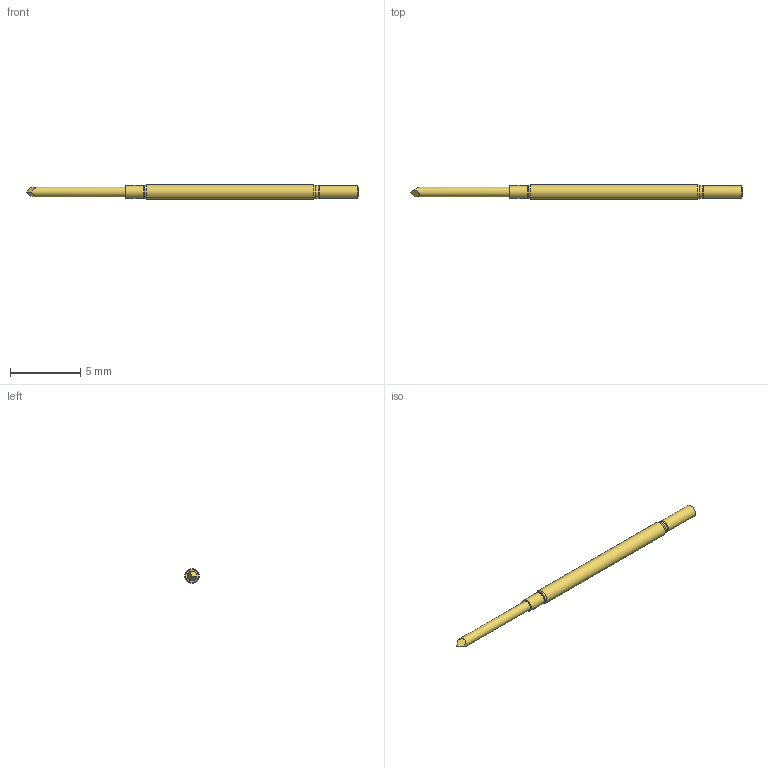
import cadquery as cq
import math

overall_length = 23.62
plunger_diameter = 0.69
neck_diameter = 0.86
sleeve_diameter = 0.89
barrel_diameter = 1.02

probe_start = -overall_length / 2
probe_end = overall_length / 2
collar_start = probe_start + 7.08
barrel_start = probe_start + 8.43
barrel_end = probe_start + 20.6
tail_start = probe_start + 20.78

barrel_chamfer_length = 0.14
barrel_chamfer_depth = 0.04
collar_bevel_length = 0.07
tail_bevel_length = 0.07
tail_end_chamfer_length = 0.05
tail_end_chamfer_depth = 0.09

facet_count = 3
facet_half_angle = 27.5
first_facet_direction = 0.0


def make_turned_body():
    """Revolve the stepped half-profile about the X axis."""
    plunger_radius = plunger_diameter / 2
    neck_radius = neck_diameter / 2
    sleeve_radius = sleeve_diameter / 2
    barrel_radius = barrel_diameter / 2
    barrel_end_radius = barrel_radius - barrel_chamfer_depth
    profile = [
        (probe_start, 0),
        (probe_start, plunger_radius),
        (collar_start, plunger_radius),
        (collar_start, sleeve_radius),
        (barrel_start - collar_bevel_length, sleeve_radius),
        (barrel_start, neck_radius),
        (barrel_start, barrel_end_radius),
        (barrel_start + barrel_chamfer_length, barrel_radius),
        (barrel_end - barrel_chamfer_length, barrel_radius),
        (barrel_end, barrel_end_radius),
        (barrel_end, neck_radius),
        (tail_start, neck_radius),
        (tail_start + tail_bevel_length, sleeve_radius),
        (probe_end - tail_end_chamfer_length, sleeve_radius),
        (probe_end, sleeve_radius - tail_end_chamfer_depth),
        (probe_end, 0),
    ]
    return cq.Workplane("XY").polyline(profile).close().revolve(360, (0, 0, 0), (1, 0, 0))


def make_facet_cutter(direction):
    """Wedge outside one tip facet, turned about X to the facet's direction."""
    facet_height = plunger_diameter
    facet_length = facet_height / math.tan(math.radians(facet_half_angle))
    wedge = (
        cq.Workplane("XY")
        .polyline([
            (probe_start, 0),
            (probe_start + facet_length, facet_height),
            (probe_start, facet_height),
        ])
        .close()
        .extrude(plunger_diameter, both=True)
    )
    return wedge.rotate((0, 0, 0), (1, 0, 0), direction)


def cut_tip(body):
    """Cut the plunger end to a pyramid that comes to a point on the axis."""
    for index in range(facet_count):
        direction = first_facet_direction + index * 360 / facet_count
        body = body.cut(make_facet_cutter(direction))
    return body


result = cut_tip(make_turned_body())